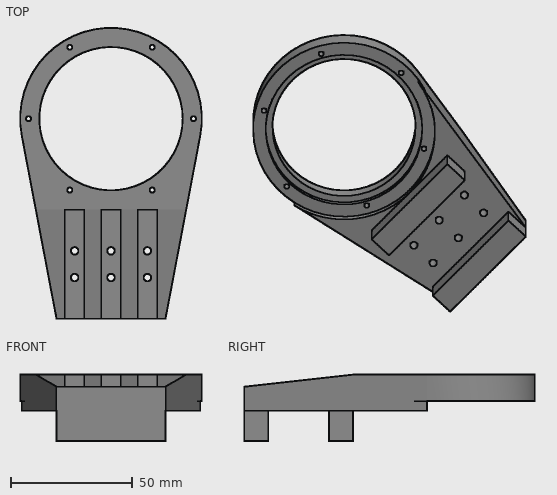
import cadquery as cq
import math

OVERCUT = 1.0

ring_radius = 37.5
ring_thickness = 11.0
bore_radius = 29.5
counterbore_radius = 32.25
counterbore_depth = 3.0
screw_count = 6
screw_circle_radius = 34.0
screw_diameter = 2.0

arm_thickness = 15.0
arm_end_width = 45.0
arm_end_y = -82.5
slope_length = 45.0
slope_drop = 5.0
slope_start_y = arm_end_y + slope_length

foot_length = 10.0
foot_height = 12.5
foot_back_edges = (slope_start_y, arm_end_y + foot_length)

groove_width = 8.0
groove_pitch = 15.0
groove_centers = (-groove_pitch, 0, groove_pitch)
mount_hole_diameter = 3.0
mount_hole_spacing = 11.0
mount_holes_mid_y = -60.0


def cylinder(radius, top_z, height):
    """Cylinder on the ring axis, reaching down from top_z."""
    return cq.Workplane("XY").workplane(offset=top_z).circle(radius).extrude(-height)


def tangent_point():
    """Point on the ring's +X side where the straight arm edge touches it."""
    end_x = arm_end_width / 2
    end_distance = math.hypot(end_x, arm_end_y)
    end_angle = math.atan2(arm_end_y, end_x)
    angle = end_angle + math.acos(ring_radius / end_distance)
    return ring_radius * math.cos(angle), ring_radius * math.sin(angle)


def make_arm():
    """Tapered plate leaving the ring tangentially, hollowed under the ring."""
    shoulder_x, shoulder_y = tangent_point()
    end_x = arm_end_width / 2
    plate = (
        cq.Workplane("XY")
        .moveTo(-shoulder_x, shoulder_y)
        .lineTo(shoulder_x, shoulder_y)
        .lineTo(end_x, arm_end_y)
        .lineTo(-end_x, arm_end_y)
        .close()
        .extrude(-arm_thickness)
    )
    recess_height = arm_thickness - ring_thickness + OVERCUT
    return plate.cut(cylinder(ring_radius, -ring_thickness, recess_height))


def make_foot(back_y):
    """Full-width block under the arm, overlapping upward into the plate."""
    overlap = arm_thickness - slope_drop
    return (
        cq.Workplane("XY")
        .workplane(offset=-arm_thickness - foot_height)
        .center(0, back_y - foot_length / 2)
        .rect(arm_end_width, foot_length)
        .extrude(foot_height + overlap)
    )


def make_slope_cut():
    """Wedge that slopes the top of the arm down to its end."""
    return (
        cq.Workplane("YZ")
        .moveTo(slope_start_y, 0)
        .lineTo(arm_end_y, 0)
        .lineTo(arm_end_y, -slope_drop)
        .close()
        .extrude(ring_radius, both=True)
    )


def make_groove(center_x):
    """Level-floored groove that runs out at the low end of the slope."""
    return (
        cq.Workplane("XY")
        .center(center_x, slope_start_y - slope_length / 2)
        .rect(groove_width, slope_length)
        .extrude(-slope_drop)
    )


def make_mount_holes():
    """Two holes through the floor of each groove."""
    half_spacing = mount_hole_spacing / 2
    hole_ys = (mount_holes_mid_y - half_spacing, mount_holes_mid_y + half_spacing)
    centers = [(x, y) for x in groove_centers for y in hole_ys]
    return (
        cq.Workplane("XY")
        .pushPoints(centers)
        .circle(mount_hole_diameter / 2)
        .extrude(-arm_thickness - OVERCUT)
    )


def make_screw_holes():
    """Evenly spaced holes through the ring."""
    return (
        cq.Workplane("XY")
        .polarArray(screw_circle_radius, 0, 360, screw_count)
        .circle(screw_diameter / 2)
        .extrude(-arm_thickness - OVERCUT)
    )


body = cylinder(ring_radius, 0, ring_thickness).union(make_arm())
for foot_back_y in foot_back_edges:
    body = body.union(make_foot(foot_back_y))

body = body.cut(make_slope_cut())
for groove_x in groove_centers:
    body = body.cut(make_groove(groove_x))

body = body.cut(cylinder(bore_radius, 0, ring_thickness))
counterbore_top_z = counterbore_depth - ring_thickness
body = body.cut(cylinder(counterbore_radius, counterbore_top_z, counterbore_depth))
body = body.cut(make_screw_holes())
body = body.cut(make_mount_holes())

result = body